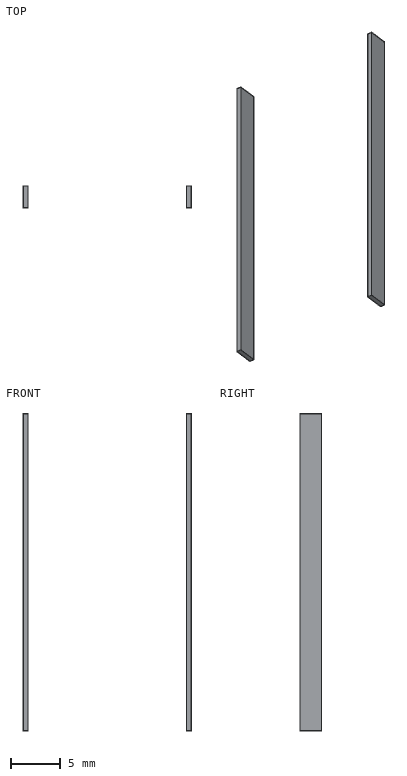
import cadquery as cq

overall_width = 17.0
strip_depth = 2.2
strip_height = 32.0

strip_thickness = 0.5

strip_offset = (overall_width - strip_thickness) / 2


def make_strip(x_center):
    """Thin upright rectangular strip centred at the given X position."""
    return (
        cq.Workplane("XY")
        .box(strip_thickness, strip_depth, strip_height)
        .translate((x_center, 0, 0))
    )


strips = []
for side in (-1, 1):
    strips.append(make_strip(side * strip_offset))

result = cq.Compound.makeCompound([strip.val() for strip in strips])